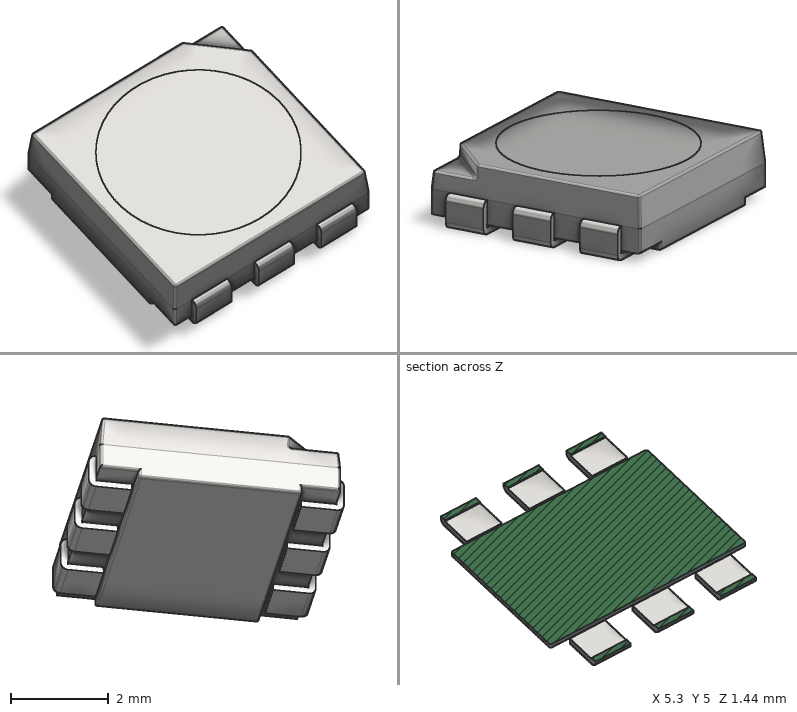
import cadquery as cq
import math

overall_height = 1.44
parting_height = 0.745
overhang_height = 0.2
underside_height = 0.04

body_side = 5.0
overhang_length = 0.8
draft_angle = 5.0
edge_radius = 0.05

mark_leg = 1.0
mark_depth = 0.3

lead_reach = 2.65
lead_top = 0.735
foot_thickness = 0.145
bend_radius = 0.145
lead_width = 0.9
lead_pitch = 1.6
leads_per_side = 3
foot_length = 0.89

lens_diameter = 4.2

half_side = body_side / 2
upper_height = overall_height - parting_height
draft_inset = upper_height * math.tan(math.radians(draft_angle))
lens_depth = upper_height


def make_lower_housing():
    """Straight-sided base, stepped up along both sides that carry leads."""
    base = (
        cq.Workplane("XY", origin=(0, 0, overhang_height))
        .rect(body_side, body_side)
        .extrude(parting_height - overhang_height)
    )
    plinth = (
        cq.Workplane("XY", origin=(0, 0, underside_height))
        .rect(body_side - 2 * overhang_length, body_side)
        .extrude(parting_height - underside_height)
    )
    return (
        base.union(plinth)
        .edges("(|X or |Z or <Z) and (not >Z)")
        .fillet(edge_radius)
    )


def make_corner_mark():
    """Triangular cutter whose long side lies mark_leg in from the corner of the top face."""
    top_corner = half_side - draft_inset
    overrun = 2 * draft_inset
    outer = top_corner + overrun
    leg = mark_leg + 2 * overrun
    return (
        cq.Workplane("XY", origin=(0, 0, overall_height))
        .polyline([(-outer, outer), (leg - outer, outer), (-outer, outer - leg)])
        .close()
        .extrude(-mark_depth)
    )


def make_upper_housing():
    """Drafted cap with the corner mark, rounded on every edge above the parting plane.

    The root of the corner mark gets the same radius as the outside edges.
    """
    return (
        cq.Workplane("XY", origin=(0, 0, parting_height))
        .rect(body_side, body_side)
        .extrude(upper_height, taper=draft_angle)
        .cut(make_corner_mark())
        .edges("not <Z")
        .fillet(edge_radius)
    )


def make_lead(center_y):
    """Lead on the +X side: it leaves the wall, bends down and folds under the overhang."""
    foot_end = lead_reach - foot_length
    bend_start = lead_reach - bend_radius
    bend_mid = bend_start + bend_radius * math.sqrt(0.5)
    bend_rise = bend_radius * (1 - math.sqrt(0.5))
    return (
        cq.Workplane("XZ", origin=(0, center_y, 0))
        .moveTo(half_side, lead_top)
        .lineTo(bend_start, lead_top)
        .threePointArc((bend_mid, lead_top - bend_rise), (lead_reach, lead_top - bend_radius))
        .lineTo(lead_reach, bend_radius)
        .threePointArc((bend_mid, bend_rise), (bend_start, 0))
        .lineTo(foot_end, 0)
        .lineTo(foot_end, foot_thickness)
        .lineTo(half_side, foot_thickness)
        .close()
        .extrude(lead_width / 2, both=True)
    )


def make_lens():
    """Flat disc, flush with the top face."""
    return (
        cq.Workplane("XY", origin=(0, 0, overall_height - lens_depth))
        .circle(lens_diameter / 2)
        .extrude(lens_depth)
    )


def make_housing():
    """Both housing halves with the leads, and a recess for the lens."""
    housing = make_lower_housing().union(make_upper_housing())
    for index in range(leads_per_side):
        center_y = (index - (leads_per_side - 1) / 2) * lead_pitch
        lead = make_lead(center_y)
        housing = housing.union(lead).union(lead.mirror("YZ"))
    return housing.cut(make_lens()).solids()


housing = make_housing()
lens = make_lens()
result = cq.Compound.makeCompound([housing.val(), lens.val()])